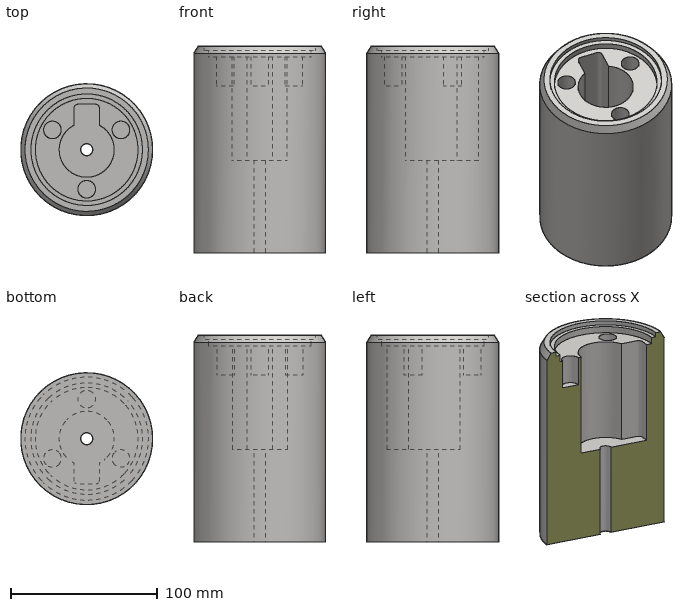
import cadquery as cq

height = 141.0
body_diameter = 90.0
top_chamfer_width = 3.0
top_chamfer_height = 5.0

outer_recess_diameter = 76.0
outer_recess_depth = 3.0
inner_recess_diameter = 70.0
inner_recess_depth = 7.5

bore_diameter = 37.5
bore_depth = 70.5
key_width = 17.3
key_reach = 31.0
key_corner_radius = 3.0
drain_diameter = 8.0

hole_count = 3
hole_diameter = 12.0
hole_circle_radius = 27.0
hole_depth = 19.7
first_hole_angle = 30

recess_floor = height - inner_recess_depth


def round_cut(diameter, top, depth):
    """Cylinder on the Z axis reaching down from the given height."""
    return cq.Workplane("XY").workplane(offset=top - depth).circle(diameter / 2).extrude(depth)


def make_body():
    body = cq.Workplane("XY").circle(body_diameter / 2).extrude(height)
    return body.faces(">Z").edges().chamfer(top_chamfer_height, top_chamfer_width)


def keyed_bore():
    keyway = (
        cq.Workplane("XY")
        .workplane(offset=recess_floor - bore_depth)
        .center(0, key_reach / 2)
        .rect(key_width, key_reach)
        .extrude(bore_depth)
        .edges("|Z and >Y")
        .fillet(key_corner_radius)
    )
    return round_cut(bore_diameter, recess_floor, bore_depth).union(keyway)


def blind_holes():
    return (
        cq.Workplane("XY")
        .workplane(offset=recess_floor - hole_depth)
        .polarArray(hole_circle_radius, first_hole_angle, 360, hole_count)
        .circle(hole_diameter / 2)
        .extrude(hole_depth)
    )


result = (
    make_body()
    .cut(round_cut(outer_recess_diameter, height, outer_recess_depth))
    .cut(round_cut(inner_recess_diameter, height, inner_recess_depth))
    .cut(keyed_bore())
    .cut(blind_holes())
    .cut(round_cut(drain_diameter, height, height))
)